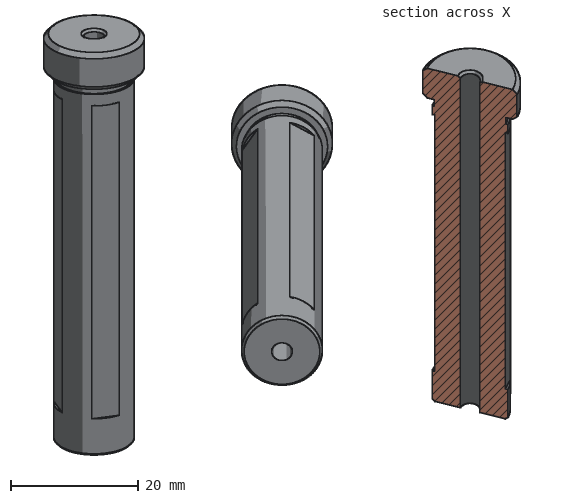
import cadquery as cq

length = 69.85
head_diameter = 15.85
head_height = 6.35
head_chamfer = 0.8

neck_diameter = 12.0
neck_height = 1.25

shank_diameter = 12.7
shank_chamfer = 0.4
flat_depth = 0.4
flat_bottom = 6.4
flat_top_margin = 1.95

hole_diameter = 3.2
hole_chamfer = 0.4

shank_length = length - head_height - neck_height
flat_length = shank_length - flat_top_margin - flat_bottom


def cylinder(diameter, bottom, height):
    return cq.Workplane("XY").workplane(offset=bottom).circle(diameter / 2).extrude(height)


def make_flat_cutter(angle):
    """Block that shaves one flat off the shank at the given angle about Z."""
    center_distance = shank_diameter / 2 - flat_depth + shank_diameter / 2
    return (
        cq.Workplane("XY")
        .box(shank_diameter, shank_diameter, flat_length, centered=(True, True, False))
        .translate((center_distance, 0, flat_bottom))
        .rotate((0, 0, 0), (0, 0, 1), angle)
    )


shank = cylinder(shank_diameter, 0, shank_length).faces("<Z").chamfer(shank_chamfer)
for angle in (0, 90, 180, 270):
    shank = shank.cut(make_flat_cutter(angle))

neck = cylinder(neck_diameter, shank_length, neck_height)
head = cylinder(head_diameter, length - head_height, head_height)
head = head.faces("<Z or >Z").edges().chamfer(head_chamfer)

hole = cylinder(hole_diameter, 0, length)
mouth = (
    cq.Workplane("XY")
    .workplane(offset=length)
    .circle(hole_diameter / 2 + hole_chamfer)
    .workplane(offset=-hole_chamfer)
    .circle(hole_diameter / 2)
    .loft()
)

result = shank.union(neck).union(head).cut(hole).cut(mouth)